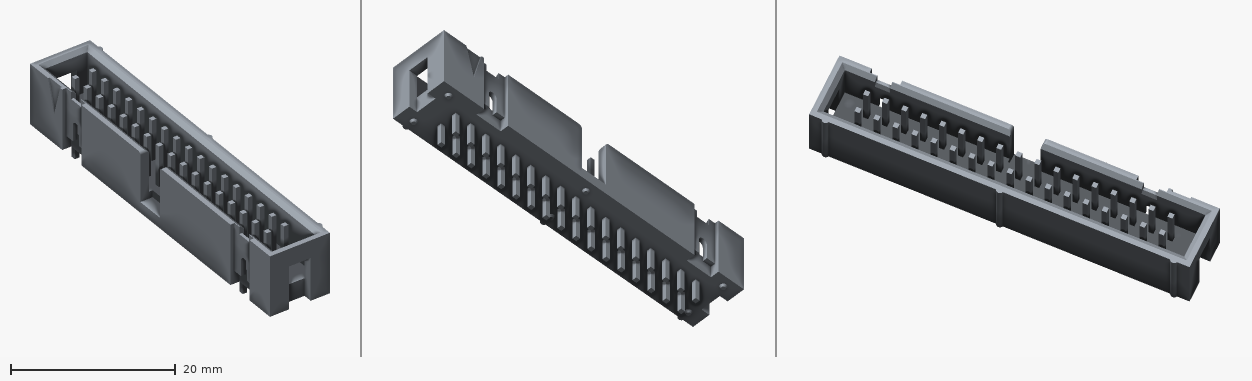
import cadquery as cq


body_length = 50.8
body_depth = 8.9
body_height = 8.9
wall = 1.3
floor_thickness = 2.6
lead_in_width = 0.6
lead_in_height = 0.5

end_slot_top = 6.3

columns = 17
pitch = 2.55
pin_size = 0.65
pin_top = 8.55
pin_tail = 3.25

key_width = 4.1
key_bottom = 1.6
key_depth = 1.85
key_round = 0.45

latch_centers = (-16.55, 19.05)
latch_width = 4.05
latch_depth = 0.6
latch_foot_height = 1.85
arch_width = 1.3
arch_top = 4.8
notch_width = 2.05
notch_depth = 1.05
notch_slope_width = 0.3
notch_slope_height = 0.6

mark_center = -20.3
mark_width = 2.55
mark_height = 4.55
mark_depth = 0.25

station_spacing = 23.25
rib_width = 0.9
rib_height = 0.3
bump_base_radius = 0.5
bump_tip_radius = 0.3
bump_height = 0.3
bump_offset = 3.05

front_y = -body_depth / 2
back_y = body_depth / 2
inner_front_y = front_y + wall
stations = (-station_spacing, 0, station_spacing)


def box(x_range, y_range, z_range):
    """Box spanning the given (low, high) ranges."""
    lows, highs = zip(x_range, y_range, z_range)
    sizes = [high - low for low, high in zip(lows, highs)]
    return cq.Workplane("XY").box(*sizes, centered=False).translate(lows)


def centered_box(x_center, width, y_range, z_range):
    """Box placed symmetrically about x_center."""
    return box((x_center - width / 2, x_center + width / 2), y_range, z_range)


def front_plane():
    """Sketch plane on the front face; negative extrusion goes into the part."""
    return cq.Workplane("XZ", origin=(0, front_y, 0))


def make_shell():
    """Open-topped housing with a sloped lead-in around the mouth."""
    shell = cq.Workplane("XY").box(body_length, body_depth, body_height, centered=(True, True, False))
    cavity_length = body_length - 2 * wall
    cavity_depth = body_depth - 2 * wall
    cavity = (
        cq.Workplane("XY", origin=(0, 0, floor_thickness))
        .rect(cavity_length, cavity_depth)
        .extrude(body_height - floor_thickness)
    )
    lead_in = (
        cq.Workplane("XY", origin=(0, 0, body_height - lead_in_height))
        .rect(cavity_length, cavity_depth)
        .workplane(offset=lead_in_height)
        .rect(cavity_length + 2 * lead_in_width, cavity_depth + 2 * lead_in_width)
        .loft(ruled=True)
    )
    return shell.cut(cavity).cut(lead_in)


def make_end_slots():
    """Slots through both end walls, open at the bottom and as wide as the two pin rows."""
    slot_width = pitch + pin_size
    half_length = body_length / 2
    y_range = (-slot_width / 2, slot_width / 2)
    left = box((-half_length, -half_length + wall), y_range, (0, end_slot_top))
    return left.union(left.mirror("YZ"))


def make_key_slot():
    """Key slot through the front wall and into the floor, its upper corners rounded outward."""
    half = key_width / 2
    slot = centered_box(0, key_width, (front_y, front_y + key_depth), (key_bottom, body_height))
    mouth = (
        front_plane()
        .moveTo(-half - key_round, body_height)
        .radiusArc((-half, body_height - key_round), key_round)
        .lineTo(half, body_height - key_round)
        .radiusArc((half + key_round, body_height), key_round)
        .close()
        .extrude(-wall)
    )
    return slot.union(mouth)


def make_latch_recess(x_center):
    """Shallow groove with a cut-away foot, an arched opening and a notch in the rim."""
    wall_range = (front_y, inner_front_y)
    groove = centered_box(x_center, latch_width, (front_y, front_y + latch_depth), (0, body_height))
    foot = centered_box(x_center, latch_width, wall_range, (0, latch_foot_height))

    arch_radius = arch_width / 2
    spring_line = arch_top - arch_radius
    arch = (
        front_plane()
        .moveTo(x_center - arch_radius, 0)
        .lineTo(x_center - arch_radius, spring_line)
        .threePointArc((x_center, arch_top), (x_center + arch_radius, spring_line))
        .lineTo(x_center + arch_radius, 0)
        .close()
        .extrude(-wall)
    )

    notch_bottom = body_height - notch_depth
    notch_points = [
        (front_y, body_height),
        (front_y, notch_bottom),
        (inner_front_y - notch_slope_width, notch_bottom),
        (inner_front_y, notch_bottom - notch_slope_height),
        (inner_front_y, body_height),
    ]
    notch = (
        cq.Workplane("YZ", origin=(x_center - notch_width / 2, 0, 0))
        .polyline(notch_points)
        .close()
        .extrude(notch_width)
    )
    return groove.union(foot).union(arch).union(notch)


def make_pin_one_mark():
    """Triangle pointing down from the top edge of the front wall."""
    corners = [
        (mark_center - mark_width / 2, body_height),
        (mark_center, body_height - mark_height),
        (mark_center + mark_width / 2, body_height),
    ]
    return front_plane().polyline(corners).close().extrude(-mark_depth)


def make_rib(x_center):
    """Full-height rib with an arched profile on the back wall."""
    half = rib_width / 2
    return (
        cq.Workplane("XY")
        .moveTo(x_center - half, back_y)
        .threePointArc((x_center, back_y + rib_height), (x_center + half, back_y))
        .close()
        .extrude(body_height)
    )


def make_bump(x_center, y_center):
    """Conical standoff bump under the body."""
    cone = cq.Solid.makeCone(
        bump_base_radius,
        bump_tip_radius,
        bump_height,
        pnt=cq.Vector(x_center, y_center, 0),
        dir=cq.Vector(0, 0, -1),
    )
    return cq.Workplane(cone)


def make_pins():
    """Two rows of square pins passing through the floor."""
    return (
        cq.Workplane("XY", origin=(0, 0, -pin_tail))
        .rarray(pitch, pitch, columns, 2)
        .rect(pin_size, pin_size)
        .extrude(pin_tail + pin_top)
    )


housing = make_shell().cut(make_end_slots()).cut(make_key_slot()).cut(make_pin_one_mark())
for latch_center in latch_centers:
    housing = housing.cut(make_latch_recess(latch_center))
for station in stations:
    housing = housing.union(make_rib(station))
    for bump_y in (-bump_offset, bump_offset):
        housing = housing.union(make_bump(station, bump_y))

result = housing.union(make_pins())